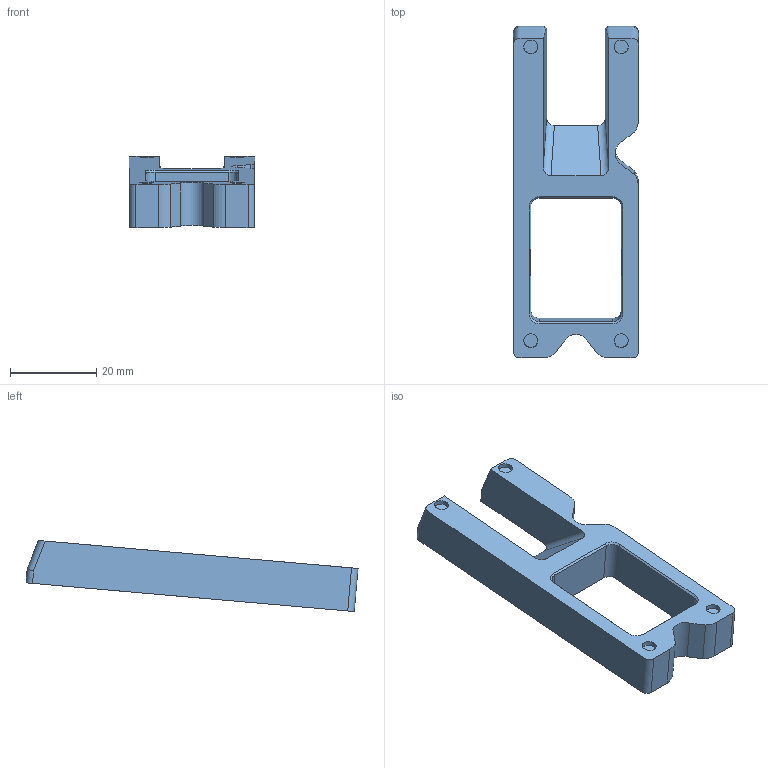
import cadquery as cq
import math

width = 28.92
length = 76.2
thickness = 10.0
tilt_angle = 5.0
corner_radius = 1.5
centre_x = width / 2

bevel_run = 2.0
bevel_start_height = 3.1
tip_top_y = length - bevel_run

hole_diameter = 3.2
hole_depth = 1.0
hole_inset = 4.0

window_width = 20.9
window_front = 8.35
window_back = 37.05
window_corner_radius = 2.0
window_chamfer = 0.4

slot_bottom_width = 13.6
slot_draft_angle = 4.5
slot_top_width = slot_bottom_width + 2 * thickness * math.tan(math.radians(slot_draft_angle))
slot_top_end = 42.3
slot_bottom_end = 53.1
slot_corner_radius = 1.8
slot_overrun = 5.0

rough_slot_width = 12.8
rough_slot_end = slot_bottom_end + slot_corner_radius

notch_depth = 5.45
notch_crown_half_width = 2.67
notch_crown_start = 3.87
notch_shoulder_half_width = 4.95
notch_shoulder_depth = 0.98
notch_mouth_half_width = 7.7
side_notch_y = 47.5


def make_plate():
    """Flat plate with a bevelled back end, a straight slot and rounded outer corners and tips."""
    side_profile = [
        (0, 0),
        (length, 0),
        (length, bevel_start_height),
        (tip_top_y, thickness),
        (0, thickness),
    ]
    plate = cq.Workplane("YZ").polyline(side_profile).close().extrude(width)
    rough_slot = (
        cq.Workplane("XY")
        .center(centre_x, (rough_slot_end + length) / 2)
        .rect(rough_slot_width, length - rough_slot_end)
        .extrude(thickness)
    )
    plate = plate.cut(rough_slot)
    bevel_side_edges = "#X and (not |Y) and (not |Z)"
    plate = plate.edges(f"(|Z and >Y) or ({bevel_side_edges})").fillet(corner_radius)
    return plate.edges("|Z and <Y").fillet(corner_radius)


def slot_outline(slot_width, inner_end):
    """Rectangle past the fork tips, centred on the slot and rounded at its inner corners."""
    outer_end = length + slot_overrun
    outline = (
        cq.Sketch()
        .rect(slot_width, outer_end - inner_end)
        .vertices("<Y")
        .fillet(slot_corner_radius)
    )
    return outline.moved(cq.Location(cq.Vector(centre_x, (inner_end + outer_end) / 2, 0)))


def make_slot():
    """Cutter for the slot, lofted between its outlines on the lower and upper faces."""
    bottom = slot_outline(slot_bottom_width, slot_bottom_end)
    top = slot_outline(slot_top_width, slot_top_end)
    top = top.moved(cq.Location(cq.Vector(0, 0, thickness)))
    return cq.Workplane("XY").placeSketch(bottom, top).loft(ruled=True)


def window_block(base_height, height, taper):
    """Rounded rectangular prism of the window outline; a negative taper widens it upward."""
    outline = (
        cq.Sketch()
        .rect(window_width, window_back - window_front)
        .vertices()
        .fillet(window_corner_radius)
    )
    return (
        cq.Workplane("XY", origin=(centre_x, (window_front + window_back) / 2, base_height))
        .placeSketch(outline)
        .extrude(height, taper=taper)
    )


def make_window():
    """Cutter for the window and its 45 degree rim chamfer."""
    opening = window_block(0, thickness, 0)
    rim = window_block(thickness - window_chamfer, window_chamfer, -45)
    return opening.union(rim)


def make_notch():
    """Bell-shaped cutter that opens toward -Y, with the middle of its mouth at the origin."""
    mouth_run = notch_mouth_half_width - notch_shoulder_half_width
    mouth_radius = (mouth_run**2 + notch_shoulder_depth**2) / (2 * notch_shoulder_depth)
    return (
        cq.Workplane("XY")
        .moveTo(-notch_mouth_half_width, 0)
        .radiusArc((-notch_shoulder_half_width, notch_shoulder_depth), -mouth_radius)
        .lineTo(-notch_crown_half_width, notch_crown_start)
        .threePointArc((0, notch_depth), (notch_crown_half_width, notch_crown_start))
        .lineTo(notch_shoulder_half_width, notch_shoulder_depth)
        .radiusArc((notch_mouth_half_width, 0), -mouth_radius)
        .close()
        .extrude(thickness)
    )


def make_holes():
    """Cutters for the four blind holes in the upper face."""
    xs = (hole_inset, width - hole_inset)
    ys = (hole_inset, length - hole_inset)
    return (
        cq.Workplane("XY", origin=(0, 0, thickness - hole_depth))
        .pushPoints([(x, y) for x in xs for y in ys])
        .circle(hole_diameter / 2)
        .extrude(hole_depth)
    )


front_notch = make_notch().translate((centre_x, 0, 0))
side_notch = make_notch().rotate((0, 0, 0), (0, 0, 1), 90).translate((width, side_notch_y, 0))

flat_part = make_plate()
for cutter in (make_slot(), make_window(), make_holes(), front_notch, side_notch):
    flat_part = flat_part.cut(cutter)

result = flat_part.rotate((0, 0, 0), (1, 0, 0), tilt_angle)